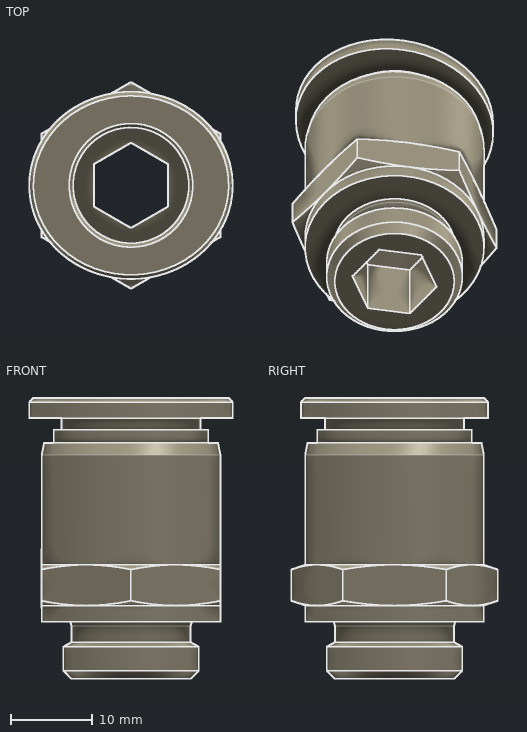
import cadquery as cq
import math

total_height = 34.5
flange_length = 25.0
flange_width = 23.0
flange_thickness = 2.5
flange_chamfer = 0.52

body_diameter = 21.98
body_bottom = 7.0
taper_bottom = 27.5
taper_top = 28.98
taper_top_diameter = 21.4
collar_diameter = 19.0
collar_top = 30.6
neck_diameter = 17.1

thread_diameter = 16.65
thread_chamfer = 1.0
thread_top = 3.95
groove_diameter = 14.65
groove_bottom = 4.52
groove_flare_height = 0.5
groove_flare_width = 0.15

hexagon_bottom = 9.0
hexagon_top = 14.0
hexagon_corner_drop = 0.6

bore_diameter = 14.2
bore_chamfer = 0.5
bore_floor = hexagon_bottom
key_flats = 9.05


def flats_to_corners(flats):
    """Distance across corners of a regular hexagon."""
    return flats / math.cos(math.pi / 6)


def hexagon_prism(flats, bottom, top):
    """Upright hexagonal prism with two corners on the Y axis."""
    return (
        cq.Workplane("XY", origin=(0, 0, bottom))
        .transformed(rotate=(0, 0, 90))
        .polygon(6, flats_to_corners(flats))
        .extrude(top - bottom)
    )


def revolve_profile(points):
    """Solid of revolution about Z from (radius, height) points."""
    return cq.Workplane("XZ").polyline(points).close().revolve(360, (0, 0), (0, 1))


def turned_body():
    """Threaded end, groove, body, collar and neck, up to the flange."""
    thread_radius = thread_diameter / 2
    groove_radius = groove_diameter / 2
    body_radius = body_diameter / 2
    collar_radius = collar_diameter / 2
    neck_radius = neck_diameter / 2
    neck_top = total_height - flange_thickness
    return revolve_profile([
        (0, 0),
        (thread_radius - thread_chamfer, 0),
        (thread_radius, thread_chamfer),
        (thread_radius, thread_top),
        (groove_radius, groove_bottom),
        (groove_radius, body_bottom - groove_flare_height),
        (groove_radius + groove_flare_width, body_bottom),
        (body_radius, body_bottom),
        (body_radius, taper_bottom),
        (taper_top_diameter / 2, taper_top),
        (collar_radius, taper_top),
        (collar_radius, collar_top),
        (neck_radius, collar_top),
        (neck_radius, neck_top),
        (0, neck_top),
    ])


def wrench_hexagon():
    """Hexagon whose corners are bevelled by a shallow cone at each end."""
    flat_radius = body_diameter / 2
    corner_radius = flats_to_corners(body_diameter) / 2
    bevel_envelope = revolve_profile([
        (0, hexagon_bottom),
        (flat_radius, hexagon_bottom),
        (corner_radius, hexagon_bottom + hexagon_corner_drop),
        (corner_radius, hexagon_top - hexagon_corner_drop),
        (flat_radius, hexagon_top),
        (0, hexagon_top),
    ])
    return hexagon_prism(body_diameter, hexagon_bottom, hexagon_top).intersect(bevel_envelope)


def release_flange():
    """Oval plate with its upper edge chamfered."""
    return (
        cq.Workplane("XY", origin=(0, 0, total_height - flange_thickness))
        .ellipse(flange_length / 2, flange_width / 2)
        .extrude(flange_thickness)
        .faces(">Z")
        .chamfer(flange_chamfer)
    )


def tube_bore():
    """Round bore from the top, chamfered at the mouth."""
    bore_radius = bore_diameter / 2
    return revolve_profile([
        (0, bore_floor),
        (bore_radius, bore_floor),
        (bore_radius, total_height - bore_chamfer),
        (bore_radius + bore_chamfer, total_height),
        (0, total_height),
    ])


key_hole = hexagon_prism(key_flats, 0, total_height)
outside = turned_body().union(wrench_hexagon()).union(release_flange())
result = outside.cut(tube_bore()).cut(key_hole)